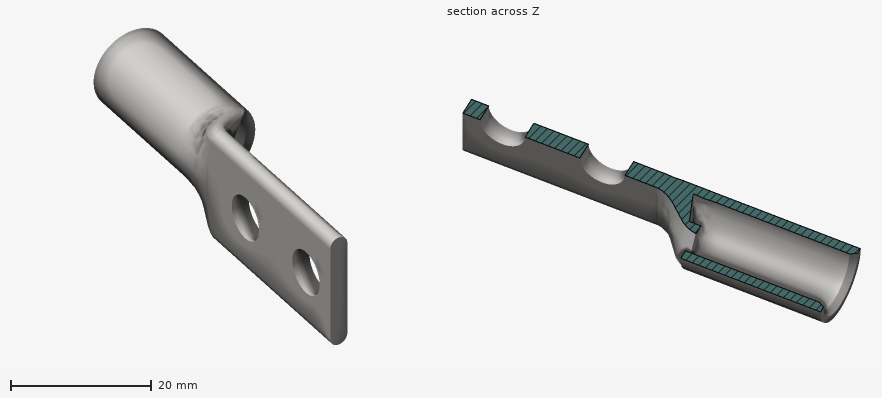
import cadquery as cq
import math

barrel_diameter = 13.03
barrel_radius = barrel_diameter / 2
barrel_length = 22.3
bore_radius = 4.9
mouth_radius = 5.5
mouth_chamfer_depth = 1.0

overall_length = 61.98
palm_start = 30.95
palm_width = 18.79
palm_thickness = 2.9
palm_bottom = -barrel_radius
palm_middle = palm_bottom + palm_thickness / 2
palm_top = palm_bottom + palm_thickness
flat_half_width = (palm_width - palm_thickness) / 2

hole_diameter = 7.14
hole_pitch = 15.875
hole_end_distance = 6.35

neck_length = palm_start - barrel_length
fold_apex_y = 1.5
fold_half_angle = math.radians(59.4)
fold_wall = 1.45
edge_start_y = -2.65
neck_fractions = (0, 0.25, 0.5, 0.75, 1)

cavity_depth = 3.5
slit_height = 0.2


def fold_corner():
    """Where the +Z side of the V meets the barrel circle, as (y, z)."""
    along = fold_apex_y * math.cos(fold_half_angle)
    across = fold_apex_y * math.sin(fold_half_angle)
    reach = math.sqrt(barrel_radius**2 - across**2) - along
    return (fold_apex_y + reach * math.cos(fold_half_angle), reach * math.sin(fold_half_angle))


def middle_of_arc(start, end):
    """Point halfway along the barrel arc between two of its points."""
    half_way = (math.atan2(start[1], start[0]) + math.atan2(end[1], end[0])) / 2
    return (barrel_radius * math.cos(half_way), barrel_radius * math.sin(half_way))


def folded_section():
    """Half-section of the neck at the barrel: bottom, edge start, edge middle, edge end, apex."""
    edge_start = (edge_start_y, math.sqrt(barrel_radius**2 - edge_start_y**2))
    edge_end = fold_corner()
    edge_middle = middle_of_arc(edge_start, edge_end)
    return [(-barrel_radius, 0), edge_start, edge_middle, edge_end, (fold_apex_y, 0)]


def flat_section():
    """The same half-section at the palm: a strip with full-round ends."""
    return [
        (palm_bottom, 0),
        (palm_bottom, flat_half_width),
        (palm_middle, palm_width / 2),
        (palm_top, flat_half_width),
        (palm_top, 0),
    ]


def flattening(fraction):
    """Share of the flattening done at a fraction of the neck length."""
    return 3 * fraction**2 - 2 * fraction**3


def neck_section(folded, flat, fraction):
    """Closed section wire of the neck, blended between its two ends."""
    share = flattening(fraction)
    bottom, edge_start, edge_middle, edge_end, apex = [
        (a[0] + share * (b[0] - a[0]), a[1] + share * (b[1] - a[1])) for a, b in zip(folded, flat)
    ]

    def place(point, side=1):
        return cq.Vector(barrel_length + fraction * neck_length, point[0], side * point[1])

    if share < 1:
        floor = cq.Edge.makeThreePointArc(place(edge_start, -1), place(bottom), place(edge_start))
    else:
        floor = cq.Edge.makeLine(place(edge_start, -1), place(edge_start))
    return cq.Wire.assembleEdges([
        floor,
        cq.Edge.makeThreePointArc(place(edge_start), place(edge_middle), place(edge_end)),
        cq.Edge.makeLine(place(edge_end), place(apex)),
        cq.Edge.makeLine(place(apex), place(edge_end, -1)),
        cq.Edge.makeThreePointArc(place(edge_end, -1), place(edge_middle, -1), place(edge_start, -1)),
    ])


def barrel():
    """Tube with a countersunk mouth."""
    half_profile = [
        (0, mouth_radius),
        (0, barrel_radius),
        (barrel_length, barrel_radius),
        (barrel_length, bore_radius),
        (mouth_chamfer_depth, bore_radius),
    ]
    return cq.Workplane("XY").polyline(half_profile).close().revolve(360, (0, 0, 0), (1, 0, 0))


def neck_body():
    """Solid neck lofted from the folded tube to the flat palm."""
    folded = folded_section()
    flat = flat_section()
    return cq.Workplane(cq.Solid.makeLoft([neck_section(folded, flat, f) for f in neck_fractions]))


def cavity_section(x, middle_y, half_height):
    """Closed wire as wide as the bore, with an arched roof and floor."""
    right = cq.Vector(x, middle_y, bore_radius)
    left = cq.Vector(x, middle_y, -bore_radius)
    roof = cq.Vector(x, middle_y + half_height, 0)
    floor = cq.Vector(x, middle_y - half_height, 0)
    return cq.Wire.assembleEdges([
        cq.Edge.makeThreePointArc(left, roof, right),
        cq.Edge.makeThreePointArc(right, floor, left),
    ])


def cavity():
    """Sloping end of the bore, kept below the wall of the fold."""
    mouth = cavity_section(barrel_length, 0, bore_radius)
    slit = cavity_section(barrel_length + cavity_depth, slit_height / 2 - bore_radius, slit_height / 2)
    bore_end = cq.Workplane(cq.Solid.makeLoft([mouth, slit], True))
    inner_apex_y = fold_apex_y - fold_wall / math.sin(fold_half_angle)
    wedge_z = (barrel_radius - inner_apex_y) * math.tan(fold_half_angle)
    fold_wedge = (
        cq.Workplane("YZ", origin=(barrel_length, 0, 0))
        .polyline([(inner_apex_y, 0), (barrel_radius, wedge_z), (barrel_radius, -wedge_z)])
        .close()
        .extrude(cavity_depth)
    )
    return bore_end.cut(fold_wedge)


def palm():
    """Flat tongue with full-round long edges and two stud holes."""
    strip = (
        cq.Workplane("YZ", origin=(palm_start, palm_middle, 0))
        .slot2D(palm_width, palm_thickness, 90)
        .extrude(overall_length - palm_start)
    )
    last_hole_x = overall_length - hole_end_distance
    holes = (
        cq.Workplane("XZ", origin=(0, palm_top, 0))
        .pushPoints([(last_hole_x - hole_pitch, 0), (last_hole_x, 0)])
        .circle(hole_diameter / 2)
        .extrude(palm_thickness)
    )
    return strip.cut(holes)


neck = neck_body().cut(cavity())
result = barrel().union(neck).union(palm())